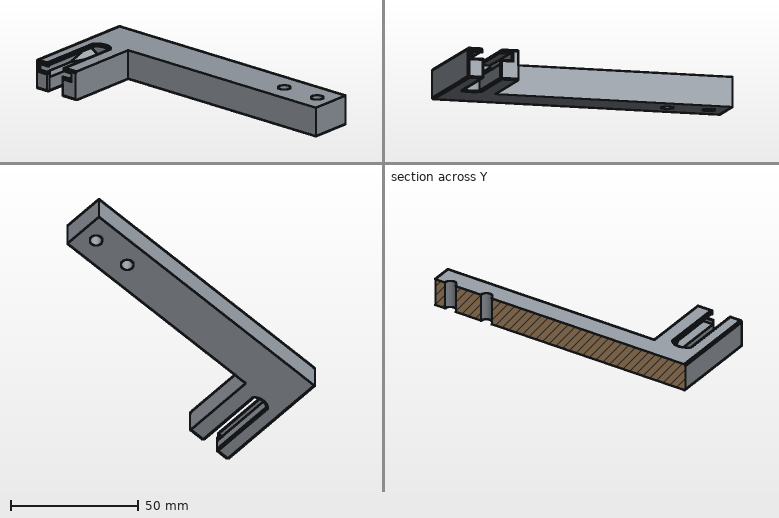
import cadquery as cq
import math

length = 117.9
depth = 49.5
height = 12.0
arm_width = 17.9
leg_width = 20.6
edge_chamfer = 0.6
bevel_angle = 45.0

hole_diameter = 5.0
hole_end_distance = 7.1
hole_spacing = 17.0

slot_center_x = 9.9
slot_end_y = 29.8
slot_width = 6.8
mouth_width = 7.8
end_radius = 5.7
end_center_y = slot_end_y - end_radius
cavity_width = 16.0
lip_thickness = 1.1
cavity_floor_z = height - 5.9
front_wall = 1.0
front_overrun = 2.4
window_sill_z = height - 4.1
window_top_z = height - 1.5

wall_lean = 45.0
wall_flare = 20.0

cavity_top_z = height - lip_thickness


def box(x_min, x_max, y_min, y_max, z_min, z_max):
    """Block between the given limits."""
    size = (x_max - x_min, y_max - y_min, z_max - z_min)
    return cq.Workplane("XY").box(*size, centered=False).translate((x_min, y_min, z_min))


def body():
    """L-shaped bar."""
    arm = box(0, length, depth - arm_width, depth, 0, height)
    leg = box(0, leg_width, 0, depth, 0, height)
    return arm.union(leg)


def arm_holes():
    """Pair of through holes on the centre line of the arm."""
    last_x = length - hole_end_distance
    centers = [(x, depth - arm_width / 2) for x in (last_x - hole_spacing, last_x)]
    return cq.Workplane("XY").pushPoints(centers).circle(hole_diameter / 2).extrude(height)


def round_ended_slot(width, radius, z_start, rise, taper=0):
    """Slot open at the front, closed at the rear by an arc about the cone axis of the cavity."""
    half = width / 2
    corner_y = end_center_y + math.sqrt(radius**2 - half**2)
    return (
        cq.Workplane("XY", origin=(slot_center_x, 0, z_start))
        .moveTo(-half, -front_overrun)
        .lineTo(-half, corner_y)
        .threePointArc((0, end_center_y + radius), (half, corner_y))
        .lineTo(half, -front_overrun)
        .close()
        .extrude(rise, taper=taper)
    )


def rim_bevel(width, z_rim, direction):
    """Bevel around the slot rim, narrowing from the outer face into the body."""
    rim_width = width + 2 * edge_chamfer
    rim_radius = end_radius + edge_chamfer
    return round_ended_slot(rim_width, rim_radius, z_rim, direction * edge_chamfer, bevel_angle)


def cavity():
    """Undercut cavity: conical rear seat with tangent flaring walls, cut flat at the rear."""
    flare = math.radians(wall_flare)
    tangent_x = end_radius * math.cos(flare)
    tangent_y = end_center_y + end_radius * math.sin(flare)
    front_x = tangent_x + (tangent_y - front_wall) * math.tan(flare)
    leaning_walls = (
        cq.Workplane("XY", origin=(slot_center_x, 0, cavity_floor_z))
        .moveTo(-front_x, front_wall)
        .lineTo(-tangent_x, tangent_y)
        .threePointArc((0, slot_end_y), (tangent_x, tangent_y))
        .lineTo(front_x, front_wall)
        .close()
        .extrude(cavity_top_z - cavity_floor_z, taper=-wall_lean)
    )
    limits = box(
        slot_center_x - cavity_width / 2,
        slot_center_x + cavity_width / 2,
        front_wall,
        slot_end_y,
        cavity_floor_z,
        cavity_top_z,
    )
    return leaning_walls.intersect(limits)


def front_window():
    """Opening through the front wall into the cavity."""
    left = slot_center_x - cavity_width / 2
    return box(left, left + cavity_width, 0, front_wall, window_sill_z, window_top_z)


def is_chamfered(edge):
    """True for the edges of the left and front faces, except at the back and right of the leg."""
    tolerance = 0.001
    limits = edge.BoundingBox()
    on_left = limits.xmax < tolerance and limits.ymin < depth - tolerance
    on_front = limits.ymax < tolerance and limits.xmin < leg_width - tolerance
    return on_left or on_front


opened_body = (
    body()
    .cut(round_ended_slot(slot_width, end_radius, 0, height))
    .cut(round_ended_slot(mouth_width, end_radius, window_top_z, height - window_top_z))
    .cut(front_window())
)
chamfered_edges = [edge for edge in opened_body.edges().vals() if is_chamfered(edge)]
chamfered_body = opened_body.newObject(chamfered_edges).chamfer(edge_chamfer)
result = (
    chamfered_body
    .cut(rim_bevel(mouth_width, height, -1))
    .cut(rim_bevel(slot_width, 0, 1))
    .cut(cavity())
    .cut(arm_holes())
)